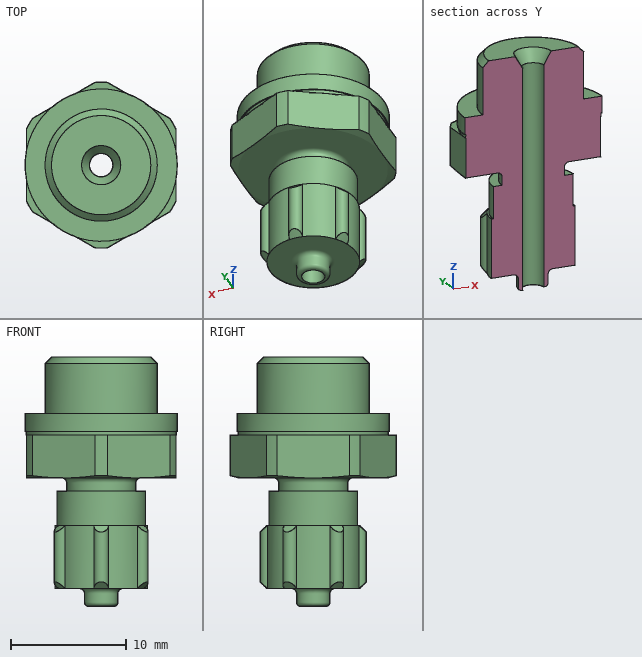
import cadquery as cq
import math

TOTAL_HEIGHT = 21.6
BODY_BOTTOM = 1.53
BODY_TOP = 7.02
COLLAR_TOP = 9.98
HEX_BOTTOM = 11.12
HEX_TOP = 14.82
FLANGE_BOTTOM = 15.15
FLANGE_TOP = 16.72

NUB_DIAMETER = 2.9
BODY_DIAMETER = 8.04
COLLAR_DIAMETER = 7.7
NECK_DIAMETER = 6.0
UNDERCUT_DIAMETER = 13.0
FLANGE_DIAMETER = 13.2
SPIGOT_DIAMETER = 9.72

SPIGOT_CHAMFER = 0.56
NECK_FILLET = 0.43
NUB_ROOT_FILLET = 0.43
NUB_TIP_FILLET = 0.32

HEX_ACROSS_FLATS = 12.95
HEX_CORNER_DIAMETER = 14.39
HEX_CHAMFER_ANGLE = 15

RIB_COUNT = 6
RIB_RADIUS = 0.63
RIB_TIP_RADIUS = 4.6
RIB_CHAMFER = 0.58

BORE_DIAMETER = 2.0
MOUTH_DIAMETER = 3.4
MOUTH_ANGLE = 60


def disc(diameter, bottom, top):
    """Cylinder on the Z axis between two heights."""
    return cq.Workplane("XY").workplane(offset=bottom).circle(diameter / 2).extrude(top - bottom)


def turned_core():
    """All round sections, revolved with their fillets and chamfer."""
    nub_radius = NUB_DIAMETER / 2
    neck_radius = NECK_DIAMETER / 2
    spigot_radius = SPIGOT_DIAMETER / 2
    undercut_radius = UNDERCUT_DIAMETER / 2
    hex_inner_radius = HEX_ACROSS_FLATS / 2
    profile = (
        cq.Workplane("XZ")
        .lineTo(nub_radius - NUB_TIP_FILLET, 0)
        .radiusArc((nub_radius, NUB_TIP_FILLET), -NUB_TIP_FILLET)
        .lineTo(nub_radius, BODY_BOTTOM - NUB_ROOT_FILLET)
        .radiusArc((nub_radius + NUB_ROOT_FILLET, BODY_BOTTOM), NUB_ROOT_FILLET)
        .lineTo(BODY_DIAMETER / 2, BODY_BOTTOM)
        .lineTo(BODY_DIAMETER / 2, BODY_TOP)
        .lineTo(COLLAR_DIAMETER / 2, BODY_TOP)
        .lineTo(COLLAR_DIAMETER / 2, COLLAR_TOP)
        .lineTo(neck_radius, COLLAR_TOP)
        .lineTo(neck_radius, HEX_BOTTOM - NECK_FILLET)
        .radiusArc((neck_radius + NECK_FILLET, HEX_BOTTOM), NECK_FILLET)
        .lineTo(hex_inner_radius, HEX_BOTTOM)
        .lineTo(hex_inner_radius, HEX_TOP)
        .lineTo(undercut_radius, HEX_TOP)
        .lineTo(undercut_radius, FLANGE_BOTTOM)
        .lineTo(FLANGE_DIAMETER / 2, FLANGE_BOTTOM)
        .lineTo(FLANGE_DIAMETER / 2, FLANGE_TOP)
        .lineTo(spigot_radius, FLANGE_TOP)
        .lineTo(spigot_radius, TOTAL_HEIGHT - SPIGOT_CHAMFER)
        .lineTo(spigot_radius - SPIGOT_CHAMFER, TOTAL_HEIGHT)
        .lineTo(0, TOTAL_HEIGHT)
        .close()
    )
    return profile.revolve(360, (0, 0, 0), (0, 1, 0))


def hexagon():
    """Hexagon with corners on the Y axis, limited by a turned blank."""
    prism = (
        cq.Workplane("XY")
        .workplane(offset=HEX_BOTTOM)
        .polygon(6, HEX_ACROSS_FLATS / math.cos(math.radians(30)))
        .extrude(HEX_TOP - HEX_BOTTOM)
        .rotate((0, 0, 0), (0, 0, 1), 30)
    )
    chamfer_width = (HEX_CORNER_DIAMETER - HEX_ACROSS_FLATS) / 2
    chamfer_height = chamfer_width * math.tan(math.radians(HEX_CHAMFER_ANGLE))
    blank = (
        disc(HEX_CORNER_DIAMETER, HEX_BOTTOM, HEX_TOP)
        .faces("<Z")
        .chamfer(chamfer_height, chamfer_width)
    )
    return prism.intersect(blank)


def ribs():
    """Rounded ribs, two on the Y axis, with 45 degree conical ends."""
    bars = (
        cq.Workplane("XY")
        .workplane(offset=BODY_BOTTOM)
        .polarArray(RIB_TIP_RADIUS - RIB_RADIUS, 90, 360, RIB_COUNT)
        .circle(RIB_RADIUS)
        .extrude(BODY_TOP - BODY_BOTTOM)
    )
    envelope = disc(2 * RIB_TIP_RADIUS, BODY_BOTTOM, BODY_TOP).faces("<Z or >Z").chamfer(RIB_CHAMFER)
    return bars.intersect(envelope)


def bore():
    """Through hole and the cone that opens it at the top."""
    mouth_radius = MOUTH_DIAMETER / 2
    cone_height = mouth_radius / math.tan(math.radians(MOUTH_ANGLE / 2))
    cone = cq.Workplane(
        cq.Solid.makeCone(0, mouth_radius, cone_height, cq.Vector(0, 0, TOTAL_HEIGHT - cone_height))
    )
    return disc(BORE_DIAMETER, 0, TOTAL_HEIGHT).union(cone)


result = turned_core().union(hexagon()).union(ribs()).cut(bore())